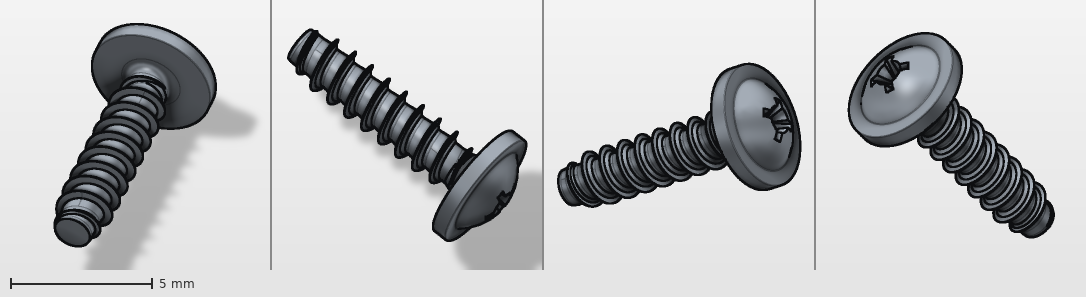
import cadquery as cq
import math

TOTAL_LENGTH = 9.37
FLANGE_DIAMETER = 4.5
FLANGE_THICKNESS = 0.6
FLANGE_EDGE_RADIUS = 0.03
DOME_BASE_RADIUS = 1.7
DOME_HEIGHT = 0.77
DOME_FOOT_RADIUS = 0.04

CORE_RIM_RADIUS = 0.51
CORE_FLOOR_RADIUS = 0.19
WING_REACH = 0.9
WING_WIDTH = 0.3
RECESS_DEPTH = 0.84

NECK_RADIUS = 0.76
NECK_FILLET = 0.35
NECK_LENGTH = 0.52
NECK_TAPER_LENGTH = 0.21
ROOT_RADIUS = 0.68
TIP_RADIUS = 0.66
TIP_TAPER_LENGTH = 0.14
TIP_CONE_HEIGHT = 0.02

EIGHT_TURNS = 6.25
PITCH = EIGHT_TURNS / 8
CREST_RADIUS = 1.01
CREST_WIDTH = 0.03
BURIED_RADIUS = 0.65
SHOULDER_END = -0.525
THREAD_PHASE_Y = -1.18
THREAD_TOP = -0.46
TOP_RUNOUT_LENGTH = 0.88
TOP_RUNOUT_DEPTH = 0.22
THREAD_BOTTOM = -7.93
BOTTOM_RUNOUT_LENGTH = 1.08
BOTTOM_RUNOUT_DEPTH = 0.31

THREAD_SECTION = [
    (BURIED_RADIUS, 0.225),
    (0.82, 0.07),
    (CREST_RADIUS, CREST_WIDTH / 2),
    (CREST_RADIUS, -CREST_WIDTH / 2),
    (0.73, -0.08),
    (0.67, SHOULDER_END),
    (BURIED_RADIUS, SHOULDER_END),
]

flange_radius = FLANGE_DIAMETER / 2
rim_y = FLANGE_THICKNESS + DOME_HEIGHT
tip_y = rim_y - TOTAL_LENGTH
tip_edge_y = tip_y + TIP_CONE_HEIGHT

dome_center_y = (rim_y + FLANGE_THICKNESS) / 2 - (
    (DOME_BASE_RADIUS**2 - CORE_RIM_RADIUS**2) / (2 * DOME_HEIGHT)
)
dome_radius = math.hypot(DOME_BASE_RADIUS, FLANGE_THICKNESS - dome_center_y)
dome_top_y = dome_center_y + dome_radius
dome_mid_angle = math.atan2(FLANGE_THICKNESS - dome_center_y, DOME_BASE_RADIUS) / 2 + math.pi / 4
dome_mid = (
    dome_radius * math.cos(dome_mid_angle),
    dome_center_y + dome_radius * math.sin(dome_mid_angle),
)


def revolve_about_y(outline):
    return outline.close().revolve(360, (0, 0, 0), (0, 1, 0))


def make_head():
    flange = revolve_about_y(
        cq.Workplane("XY").lineTo(flange_radius, 0).lineTo(flange_radius, FLANGE_THICKNESS)
        .lineTo(0, FLANGE_THICKNESS)
    ).edges().fillet(FLANGE_EDGE_RADIUS)
    dome = revolve_about_y(
        cq.Workplane("XY").lineTo(DOME_BASE_RADIUS, 0).lineTo(DOME_BASE_RADIUS, FLANGE_THICKNESS)
        .threePointArc(dome_mid, (0, dome_top_y))
    )
    on_flange_top = ((DOME_BASE_RADIUS + flange_radius) / 2, FLANGE_THICKNESS, 0)
    flange_top = flange.union(dome).faces(cq.selectors.NearestToPointSelector(on_flange_top))
    dome_foot = flange_top.edges(cq.selectors.RadiusNthSelector(0))
    return dome_foot.fillet(DOME_FOOT_RADIUS)


def make_recess():
    floor_y = rim_y - RECESS_DEPTH
    core = revolve_about_y(
        cq.Workplane("XY").moveTo(0, floor_y).lineTo(CORE_FLOOR_RADIUS, floor_y)
        .lineTo(CORE_RIM_RADIUS, rim_y).lineTo(CORE_RIM_RADIUS, dome_top_y).lineTo(0, dome_top_y)
    )
    wing_pair = (
        cq.Workplane("XY")
        .polyline([
            (-CORE_FLOOR_RADIUS, floor_y), (CORE_FLOOR_RADIUS, floor_y),
            (WING_REACH, rim_y), (WING_REACH, dome_top_y),
            (-WING_REACH, dome_top_y), (-WING_REACH, rim_y),
        ])
        .close().extrude(WING_WIDTH / 2, both=True)
    )
    return core.union(wing_pair).union(wing_pair.rotate((0, 0, 0), (0, 1, 0), 90))


def make_shank():
    """Plain shank with the fillet under the head, starting inside the flange."""
    fillet_mid = NECK_FILLET * (1 - math.sqrt(0.5))
    return revolve_about_y(
        cq.Workplane("XY")
        .moveTo(0, FLANGE_THICKNESS / 2)
        .lineTo(NECK_RADIUS + NECK_FILLET, FLANGE_THICKNESS / 2)
        .lineTo(NECK_RADIUS + NECK_FILLET, 0)
        .threePointArc((NECK_RADIUS + fillet_mid, -fillet_mid), (NECK_RADIUS, -NECK_FILLET))
        .lineTo(NECK_RADIUS, -NECK_LENGTH)
        .lineTo(ROOT_RADIUS, -NECK_LENGTH - NECK_TAPER_LENGTH)
        .lineTo(ROOT_RADIUS, tip_edge_y + TIP_TAPER_LENGTH)
        .lineTo(TIP_RADIUS, tip_edge_y)
        .lineTo(0, tip_y)
    )


def share(radius):
    """Part of the crest's sinking that a point of the thread section takes at this radius."""
    return (radius - BURIED_RADIUS) / (CREST_RADIUS - BURIED_RADIUS)


def place_on_thread(shape, crest_y):
    """Turn a shape starting on the +X side to the thread's phase at crest_y, and lift it there."""
    phase = 360 * (crest_y - THREAD_PHASE_Y) / PITCH
    return shape.rotate(cq.Vector(0, 0, 0), cq.Vector(0, 0, 1), phase).translate(cq.Vector(0, 0, crest_y))


def helix(radius, height, start, length, growth):
    """Helix on the Z axis whose radius changes by growth; height offsets it from the crest."""
    cylinder = 360.0
    taper = math.atan2(growth, length)
    slant = 1 / math.cos(taper)
    wire = cq.Wire.makeHelix(
        PITCH * slant, length * slant, radius, cq.Vector(0, 0, height), cq.Vector(0, 0, 1),
        math.degrees(taper) if growth else cylinder,
    )
    return place_on_thread(wire, start)


def make_thread():
    """Thread built along Z as a closed skin of helical faces, then laid along Y."""
    full_bottom = THREAD_BOTTOM + BOTTOM_RUNOUT_LENGTH
    full_top = THREAD_TOP - TOP_RUNOUT_LENGTH
    stretches = [
        (THREAD_BOTTOM, BOTTOM_RUNOUT_LENGTH, BOTTOM_RUNOUT_DEPTH, BOTTOM_RUNOUT_DEPTH),
        (full_bottom, full_top - full_bottom, 0, 0),
        (full_top, TOP_RUNOUT_LENGTH, 0, -TOP_RUNOUT_DEPTH),
    ]
    faces = []
    for start, length, sink, growth in stretches:
        rails = [
            helix(r - sink * share(r), h, start, length, growth * share(r)) for r, h in THREAD_SECTION
        ]
        for rail, next_rail in zip(rails, rails[1:] + rails[:1]):
            faces.append(cq.Face.makeRuledSurface(rail, next_rail))

    for end, sink in ((THREAD_BOTTOM, BOTTOM_RUNOUT_DEPTH), (THREAD_TOP, TOP_RUNOUT_DEPTH)):
        corners = [cq.Vector(r - sink * share(r), 0, h) for r, h in THREAD_SECTION]
        cap = cq.Face.makeFromWires(cq.Wire.makePolygon(corners, close=True))
        faces.append(place_on_thread(cap, end))

    solid = cq.Solid.makeSolid(cq.Shell.makeShell(faces))
    return cq.Workplane("XY").add(cq.Solid(solid.fix().wrapped)).rotate((0, 0, 0), (1, 0, 0), -90)


def make_tip_clearance():
    """Space below the tip, into which the end of the thread must not reach."""
    return revolve_about_y(
        cq.Workplane("XY").moveTo(0, tip_y).lineTo(TIP_RADIUS, tip_edge_y)
        .lineTo(flange_radius, tip_edge_y).lineTo(flange_radius, tip_y - PITCH)
        .lineTo(0, tip_y - PITCH)
    )


thread = make_thread().cut(make_tip_clearance())
result = make_shank().union(thread).union(make_head()).cut(make_recess())